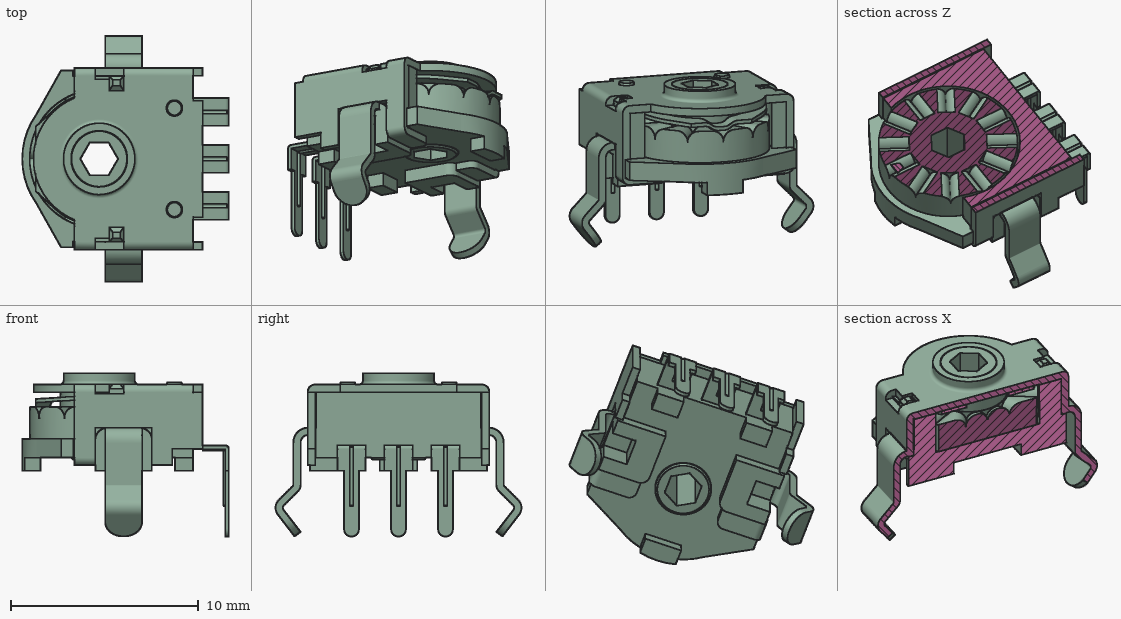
import cadquery as cq
import math

SIDES = (1, -1)

floor_bottom = 0.7
floor_top = 1.7
drum_top = 3.4
cover_top = 4.6
overall_top = 5.2

sheet = 0.42
bend_radius = 0.41
cover_under = cover_top - sheet
cover_half_width = 4.84
wall_inner_y = cover_half_width - sheet
cover_front_x = -1.32
plate_back_x = 5.0
cover_back_x = 5.5
back_tongue_half_width = 3.1
cover_disc_radius = 3.5
collar_radius = 1.9
collar_fillet = 0.2
collar_bore_radius = 1.5
wall_bottom = 0.3
wall_back_bottom = 1.17
wall_step_x = 3.9
fold_tab_inner_y = 2.3
fold_tab_corner = 0.42
fold_radius = 0.39

window_x0 = -0.2
window_x1 = 1.31
window_bottom = 4.11
window_inner_y = 4.23
peg_x0 = 0.53
peg_inner_y = 3.63
peg_shoulder = 4.37
peg_taper_inset = 0.18
peg_inner_inset = 0.27

notch_x0 = -0.2
notch_x1 = 2.8
notch_top = 2.3
clip_width = 1.97
clip_x = (notch_x0 + notch_x1) / 2
clip_thickness = 0.4
clip_leg_y = 5.4
clip_bend_radius = 0.59
clip_kick_z = -0.86
clip_knee = (6.473, -1.933)
clip_tip = (5.37, -3.37)
clip_kick_radius = 0.25
clip_knee_radius = 0.38
clip_tip_corner = 0.97

base_half_width = 4.4
base_back_x = 5.0
flange_radius = 4.1
flange_half_width = 4.71
flange_arc_end_y = 2.37
flange_corner_x = -2.03
flange_back_x = -1.39
cavity_radius = 3.82
front_foot_back_x = -3.12
front_foot_half_width = 1.01
side_foot_inner_y = 2.0
side_foot_corner = 0.5
side_foot_top = 2.27
side_foot_top_corner = 0.6
clip_slot_inset = 0.78
clip_slot_inner_y = 3.4
clip_slot_top = 1.6
back_foot_x = 4.03
back_foot_half_width = 0.73
stud_x = 4.0
stud_y = 2.7
stud_radius = 0.85 / 2
stud_height = 0.12
stud_draft = 0.05

drum_radius = 3.7
shoulder_radius = 4.15 / 2
journal_radius = 2.95 / 2
journal_bottom = 0.59
journal_chamfer = 0.1
hex_across_corners = 2.0
detent_count = 12
detent_radius = 0.6

spring_thickness = 0.2
spring_radius = 3.55
spring_bore_radius = 2.6
spring_front_x = -3.38
spring_front_half_width = 1.72
spring_front_top = 3.83
spring_slope = 0.062
spring_back_top = cover_under
bump_half_width = 0.95
bump_flat_half_width = 0.15
bump_depth = 0.28

terminal_pitch = 2.5
terminal_thickness = 0.2
terminal_bend_radius = 0.19
terminal_top = 1.36
terminal_inner_x = 4.5
terminal_outer_x = 6.9
terminal_wide = 1.5
terminal_narrow = 0.8
terminal_shoulder_z = 0.0
terminal_bottom = -3.5
bead_radius = 0.1
bead_bottom = -1.89
bead_chamfer = 0.05


def block(x0, x1, y0, y1, z0, z1):
    """Box between two X, two Y and two Z planes."""
    return cq.Workplane("XY").box(x1 - x0, y1 - y0, z1 - z0, centered=False).translate((x0, y0, z0))


def side_block(side, x0, x1, y0, y1, z0, z1):
    """Box given for the +Y side, or its mirror image on the -Y side."""
    low, high = sorted((side * y0, side * y1))
    return block(x0, x1, low, high, z0, z1)


def cylinder(radius, z0, z1, x=0, y=0):
    return cq.Workplane("XY", origin=(x, y, z0)).circle(radius).extrude(z1 - z0)


def rounded_path(points, radii):
    """Path in the YZ plane through the points, with each inner corner rounded by its radius."""
    path = cq.Workplane("YZ").moveTo(*points[0])
    for before, corner, after, radius in zip(points, points[1:], points[2:], radii):
        start = cq.Vector(*before) - cq.Vector(*corner)
        end = cq.Vector(*after) - cq.Vector(*corner)
        setback = radius / math.tan(start.getAngle(end) / 2)
        arc_start = cq.Vector(*corner) + start.normalized() * setback
        arc_end = cq.Vector(*corner) + end.normalized() * setback
        path = path.lineTo(arc_start.x, arc_start.y).tangentArcPoint((arc_end.x, arc_end.y), relative=False)
    return path.lineTo(*points[-1])


def clip():
    """Mounting clip on the +Y wall: bends out and down, kicks out, and returns to a rounded tip."""
    root_z = notch_top - clip_thickness / 2
    points = [
        (wall_inner_y, root_z),
        (clip_leg_y, root_z),
        (clip_leg_y, clip_kick_z),
        clip_knee,
        clip_tip,
    ]
    radii = [clip_bend_radius, clip_kick_radius, clip_knee_radius]
    strip = (
        cq.Workplane("XZ", origin=(clip_x, wall_inner_y, root_z))
        .rect(clip_width, clip_thickness)
        .sweep(rounded_path(points, radii).translate((clip_x, 0, 0)))
    )
    run = cq.Vector(0, clip_tip[0] - clip_knee[0], clip_tip[1] - clip_knee[1])
    across = cq.Vector(0, -run.z, run.y)
    tip_edges = strip.faces("<Z").edges(cq.selectors.ParallelDirSelector(across))
    return tip_edges.fillet(clip_tip_corner)


def cover_wall(side):
    """Side wall with its clip notch, and the tab folded under the base at its front."""
    wall = side_block(
        side, cover_front_x, cover_back_x, wall_inner_y, cover_half_width, wall_bottom, cover_under
    )
    tab = side_block(
        side, cover_front_x, notch_x0, fold_tab_inner_y, cover_half_width, wall_bottom, floor_bottom
    )
    tab_end = "<Y" if side > 0 else ">Y"
    fold = ">Y" if side > 0 else "<Y"
    tab = tab.faces(tab_end).edges("|Z and <X").fillet(fold_tab_corner)
    notch = side_block(side, notch_x0, notch_x1, 0, cover_half_width, 0, notch_top)
    back_step = side_block(side, wall_step_x, cover_back_x, 0, cover_half_width, 0, wall_back_bottom)
    front_strip = side_block(
        side, cover_front_x, notch_x0, wall_inner_y, cover_half_width, wall_bottom, floor_bottom
    )
    wall = wall.cut(notch).cut(back_step).cut(front_strip)
    tab = tab.faces(fold).edges("<Z").fillet(fold_radius)
    return wall.union(tab)


def make_cover():
    plate = block(
        cover_front_x, plate_back_x, -cover_half_width, cover_half_width, cover_under, cover_top
    )
    plate = plate.edges("|X and >Z").fillet(bend_radius)
    tongue = block(
        plate_back_x, cover_back_x, -back_tongue_half_width, back_tongue_half_width, cover_under, cover_top
    )
    disc = cylinder(cover_disc_radius, cover_under, cover_top)
    cover = plate.union(tongue).union(disc)

    collar_profile = (
        cq.Workplane("XZ")
        .moveTo(0, cover_top)
        .lineTo(collar_radius + collar_fillet, cover_top)
        .radiusArc((collar_radius, cover_top + collar_fillet), collar_fillet)
        .lineTo(collar_radius, overall_top)
        .lineTo(0, overall_top)
        .close()
    )
    cover = cover.union(collar_profile.revolve(360, (0, 0, 0), (0, 1, 0)))
    cover = cover.cut(cylinder(collar_bore_radius, cover_under, overall_top))

    clip_plus_y = clip()
    for side in SIDES:
        cover = cover.union(cover_wall(side))
        cover = cover.union(clip_plus_y if side > 0 else clip_plus_y.mirror("XZ"))
        cover = cover.cut(
            side_block(
                side, window_x0, window_x1, window_inner_y, cover_half_width, window_bottom, cover_top
            )
        )
        cover = cover.cut(
            side_block(side, peg_x0, window_x1, peg_inner_y, window_inner_y, cover_under, cover_top)
        )
        cover = cover.cut(cylinder(stud_radius, cover_under, cover_top, stud_x, side * stud_y))
    return cover


def flange():
    """Front flange: an arc about the rotor axis with straight sides running out to the corners."""
    arc_end_x = -math.sqrt(flange_radius**2 - flange_arc_end_y**2)
    return (
        cq.Workplane("XY", origin=(0, 0, floor_bottom))
        .moveTo(flange_back_x, -flange_half_width)
        .lineTo(flange_corner_x, -flange_half_width)
        .lineTo(arc_end_x, -flange_arc_end_y)
        .threePointArc((-flange_radius, 0), (arc_end_x, flange_arc_end_y))
        .lineTo(flange_corner_x, flange_half_width)
        .lineTo(flange_back_x, flange_half_width)
        .close()
        .extrude(floor_top - floor_bottom)
    )


def front_foot():
    """Foot under the middle of the flange arc, flush with the arc."""
    arc_end_x = -math.sqrt(flange_radius**2 - front_foot_half_width**2)
    return (
        cq.Workplane("XY")
        .moveTo(front_foot_back_x, -front_foot_half_width)
        .lineTo(arc_end_x, -front_foot_half_width)
        .threePointArc((-flange_radius, 0), (arc_end_x, front_foot_half_width))
        .lineTo(front_foot_back_x, front_foot_half_width)
        .close()
        .extrude(floor_bottom)
    )


def side_foot(side):
    """Foot that fills the wall notch around the root of the clip."""
    foot = side_block(
        side, notch_x0, notch_x1, side_foot_inner_y, flange_half_width, 0, floor_bottom
    )
    inner_end = "<Y" if side > 0 else ">Y"
    foot = foot.faces(inner_end).edges("|Z and <X").fillet(side_foot_corner)
    panel = side_block(
        side, notch_x0, notch_x1, base_half_width, flange_half_width, 0, side_foot_top
    )
    panel = panel.edges("|Y and >Z").fillet(side_foot_top_corner)
    clip_gap = side_block(
        side,
        clip_x - clip_width / 2,
        clip_x + clip_width / 2,
        wall_inner_y,
        flange_half_width,
        notch_top - clip_thickness,
        notch_top,
    )
    return foot.union(panel).cut(clip_gap)


def locating_peg(side):
    """Square peg with a pyramid top, standing in the cover window."""
    y_middle = side * (peg_inner_y + base_half_width) / 2
    x_size = window_x1 - peg_x0
    y_size = base_half_width - peg_inner_y
    x_middle = (peg_x0 + window_x1) / 2
    square = cq.Workplane("XY", origin=(x_middle, y_middle, cover_under)).rect(x_size, y_size)
    peg = square.extrude(peg_shoulder - cover_under)
    pyramid = (
        cq.Workplane("XY", origin=(x_middle, y_middle, peg_shoulder))
        .rect(x_size, y_size)
        .workplane(offset=cover_top - peg_shoulder)
        .center(0, side * (peg_inner_inset - peg_taper_inset) / 2)
        .rect(x_size - 2 * peg_taper_inset, y_size - peg_taper_inset - peg_inner_inset)
        .loft(ruled=True)
    )
    return peg.union(pyramid)


def make_base(terminals):
    base = block(
        flange_back_x, base_back_x, -base_half_width, base_half_width, floor_bottom, floor_top
    )
    base = base.union(flange())
    housing = block(
        cover_front_x, base_back_x, -base_half_width, base_half_width, floor_top, cover_under
    )
    base = base.union(housing.cut(cylinder(cavity_radius, floor_top, cover_under)))

    base = base.union(front_foot())
    for side in SIDES:
        base = base.union(side_foot(side))
        base = base.union(
            side_block(
                side,
                back_foot_x,
                base_back_x,
                terminal_pitch - back_foot_half_width,
                terminal_pitch + back_foot_half_width,
                0,
                floor_bottom,
            )
        )
        base = base.union(locating_peg(side))
        stud = cylinder(stud_radius, cover_under, cover_top + stud_height, stud_x, side * stud_y)
        base = base.union(stud.faces(">Z").chamfer(stud_height, stud_draft))
    for side in SIDES:
        base = base.cut(
            side_block(
                side,
                notch_x0 + clip_slot_inset,
                notch_x1 - clip_slot_inset,
                clip_slot_inner_y,
                flange_half_width,
                0,
                clip_slot_top,
            )
        )
    base = base.cut(cylinder(collar_bore_radius, floor_bottom, floor_top))
    for terminal in terminals:
        base = base.cut(terminal)
    return base


def detent_groove():
    """Radial groove toward -X whose two convex flanks meet in a cusp at the bottom."""
    return (
        cq.Workplane("YZ", origin=(-drum_radius, 0, 0))
        .moveTo(-detent_radius, drum_top)
        .radiusArc((0, drum_top - detent_radius), detent_radius)
        .radiusArc((detent_radius, drum_top), detent_radius)
        .close()
        .extrude(drum_radius - shoulder_radius)
    )


def make_rotor():
    drum = cylinder(drum_radius, floor_top, drum_top)
    groove = detent_groove()
    for index in range(detent_count):
        drum = drum.cut(groove.rotate((0, 0, 0), (0, 0, 1), index * 360 / detent_count))
    shoulder = cylinder(shoulder_radius, floor_top, cover_under)
    journal = cylinder(journal_radius, journal_bottom, overall_top)
    journal = journal.faces("<Z").chamfer(journal_chamfer)
    hex_hole = (
        cq.Workplane("XY", origin=(0, 0, journal_bottom))
        .polygon(6, hex_across_corners)
        .extrude(overall_top - journal_bottom)
    )
    return drum.union(shoulder).union(journal).cut(hex_hole)


def spring_outline(height):
    """Ring outline with a straight front edge whose corners run tangent to the ring."""
    corner_distance = math.hypot(spring_front_x, spring_front_half_width)
    corner_angle = math.atan2(spring_front_half_width, spring_front_x)
    tangent_angle = corner_angle - math.acos(spring_radius / corner_distance)
    tangent_x = spring_radius * math.cos(tangent_angle)
    tangent_y = spring_radius * math.sin(tangent_angle)
    return (
        cq.Workplane("XY")
        .moveTo(spring_front_x, -spring_front_half_width)
        .lineTo(spring_front_x, spring_front_half_width)
        .lineTo(tangent_x, tangent_y)
        .threePointArc((spring_radius, 0), (tangent_x, -tangent_y))
        .close()
        .circle(spring_bore_radius)
        .extrude(height)
    )


def spring_bump():
    """Wave in the front of the spring, made of tangent arcs, dipping into a detent."""
    tilt = math.atan(spring_slope)
    top = spring_front_top
    low = top - spring_thickness * math.cos(tilt)
    flat = bump_flat_half_width
    middle = (bump_half_width + flat) / 2
    half_run = (bump_half_width - flat) / 2
    half_dip = bump_depth / 2
    radius = (half_run**2 + half_dip**2) / (2 * half_dip)
    wave = (
        cq.Workplane("YZ", origin=(spring_front_x - spring_thickness, 0, 0))
        .moveTo(-bump_half_width, top)
        .radiusArc((-middle, top - half_dip), radius)
        .radiusArc((-flat, top - bump_depth), -radius)
        .lineTo(flat, top - bump_depth)
        .radiusArc((middle, top - half_dip), -radius)
        .radiusArc((bump_half_width, top), radius)
        .lineTo(bump_half_width, low)
        .radiusArc((middle, low - half_dip), -radius)
        .radiusArc((flat, low - bump_depth), radius)
        .lineTo(-flat, low - bump_depth)
        .radiusArc((-middle, low - half_dip), radius)
        .radiusArc((-bump_half_width, low), -radius)
        .close()
        .extrude(-spring_front_x)
    )
    hinge = (spring_front_x, 0, spring_front_top)
    return wave.rotate(hinge, (spring_front_x, 1, spring_front_top), -math.degrees(tilt))


def make_spring():
    lift_x = spring_front_x + (spring_back_top - spring_front_top) / spring_slope
    strip = (
        cq.Workplane("XZ", origin=(0, spring_radius, 0))
        .moveTo(spring_front_x, spring_front_top)
        .lineTo(lift_x, spring_back_top)
        .lineTo(spring_radius, spring_back_top)
        .lineTo(spring_radius, spring_back_top - spring_thickness)
        .lineTo(lift_x, spring_back_top - spring_thickness)
        .lineTo(spring_front_x, spring_front_top - spring_thickness)
        .close()
        .extrude(2 * spring_radius)
    )
    bump_gap = block(spring_front_x, 0, -bump_half_width, bump_half_width, 0, cover_top)
    return strip.cut(bump_gap).union(spring_bump()).intersect(spring_outline(overall_top))


def make_terminal(y):
    """Bent terminal: flat strip out of the base, shoulder, and a narrow round-ended pin with a bead."""
    strip_bottom = terminal_top - terminal_thickness
    leg_inner_x = terminal_outer_x - terminal_thickness
    wide = terminal_wide / 2
    strip = block(terminal_inner_x, terminal_outer_x, -wide, wide, strip_bottom, terminal_top)
    shoulder = block(leg_inner_x, terminal_outer_x, -wide, wide, terminal_shoulder_z, terminal_top)
    terminal = strip.union(shoulder).edges("|Y and >X and >Z").fillet(terminal_bend_radius)
    narrow = terminal_narrow / 2
    pin = (
        cq.Workplane("YZ", origin=(leg_inner_x, 0, 0))
        .moveTo(-narrow, terminal_shoulder_z)
        .lineTo(-narrow, terminal_bottom + narrow)
        .threePointArc((0, terminal_bottom), (narrow, terminal_bottom + narrow))
        .lineTo(narrow, terminal_shoulder_z)
        .close()
        .extrude(terminal_thickness)
    )
    terminal = terminal.union(pin)

    def bead(corner_x, corner_z):
        along = cq.Workplane("YZ", origin=(cover_back_x, 0, corner_z)).circle(bead_radius)
        down = cq.Workplane("XY", origin=(corner_x, 0, bead_bottom)).circle(bead_radius)
        down = down.extrude(corner_z - bead_bottom).faces("<Z").chamfer(bead_chamfer)
        return along.extrude(corner_x - cover_back_x).union(down)

    terminal = terminal.union(bead(leg_inner_x, strip_bottom))
    terminal = terminal.cut(bead(terminal_outer_x, terminal_top))
    return terminal.translate((0, y, 0))


terminals = [make_terminal(step * terminal_pitch) for step in (-1, 0, 1)]
base = make_base(terminals)
cover = make_cover()
rotor = make_rotor()
spring = make_spring()

result = cq.Compound.makeCompound(
    [base.val(), cover.val(), rotor.val(), spring.val(), *[terminal.val() for terminal in terminals]]
)